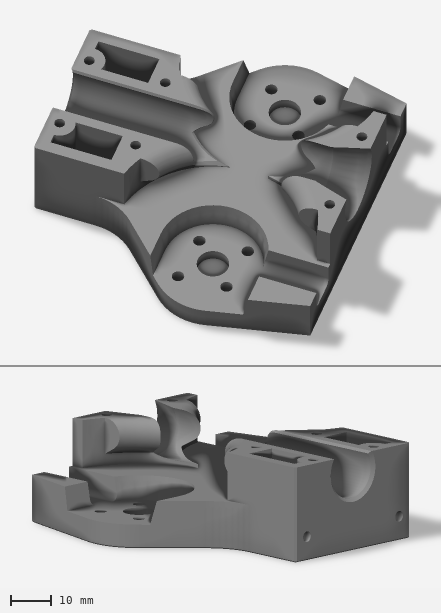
import cadquery as cq
import math

length = 78.0
height = 24.05
plate_top = 12.0
block_half_width = 20.0
edge_chamfer = 0.5
bottom_chamfer = 0.3

wheel_x = 49.2
wheel_y = 25.5
lobe_radius = 15.0
neck_radius = lobe_radius
flank_angle = math.radians(45)
rear_half_width = 34.2
wheel_axes = [(wheel_x, wheel_y), (wheel_x, -wheel_y)]

wheel_radius = 26.0
bore_z = 20.0
rib_reach_radius = 21.6
rib_radius = height - bore_z
rib_pitch_radius = rib_reach_radius + rib_radius
rib_base_z = 15.0
rib_half_width = 14.1

bore_radius = 7.0
bore_chamfer = 0.8
flare_start_x = 68.8
flare_radius = 9.5

seat_floor = 6.0
seat_floor_radius = 12.55
seat_draft = 11.0
shaft_hole_diameter = 8.0
shaft_hole_depth = 2.9
motor_hole_diameter = 3.1
motor_hole_circle_radii = (8.0, 9.5)
motor_hole_angle = math.radians(45)

channel_width = 8.6
channel_fillet = 1.6

screw_diameter = 2.7
front_screw_x = 3.3
screw_spacing_x = 20.0
front_screw_y = 10.5
rear_screw_x = 74.7
rear_screw_y = 11.4
pocket_length = 16.0
pocket_inner_y = 9.0
pocket_width = 8.0
pocket_depth = 12.0
screw_boss_radius = 4.0
front_hole_diameter = 2.7
front_hole_y = 16.0
front_hole_z = 6.0
front_hole_depth = 10.0


def box(x0, x1, y0, y1, z0, z1):
    """Box between two opposite corners."""
    return cq.Workplane("XY").box(x1 - x0, y1 - y0, z1 - z0, centered=False).translate((x0, y0, z0))


def lobe_plate():
    """Half plate on the +Y side: neck fillet, sloping flank, round lobe, tapering rear flank."""
    flank_end = (
        wheel_x - lobe_radius * math.sin(flank_angle),
        wheel_y + lobe_radius * math.cos(flank_angle),
    )
    neck_end_y = block_half_width + neck_radius * (1 - math.cos(flank_angle))
    neck_end_x = flank_end[0] - (flank_end[1] - neck_end_y) / math.tan(flank_angle)
    neck_end = (neck_end_x, neck_end_y)
    neck_x = neck_end_x - neck_radius * math.sin(flank_angle)
    neck_angle = flank_angle / 2
    neck_mid = (
        neck_x + neck_radius * math.sin(neck_angle),
        block_half_width + neck_radius * (1 - math.cos(neck_angle)),
    )

    corner_dx = length - wheel_x
    corner_dy = rear_half_width - wheel_y
    corner_distance = math.hypot(corner_dx, corner_dy)
    tangent_angle = math.atan2(corner_dy, corner_dx) + math.acos(lobe_radius / corner_distance)
    lobe_end = (
        wheel_x + lobe_radius * math.cos(tangent_angle),
        wheel_y + lobe_radius * math.sin(tangent_angle),
    )
    return (
        cq.Workplane("XY")
        .moveTo(neck_x, 0)
        .lineTo(neck_x, block_half_width)
        .threePointArc(neck_mid, neck_end)
        .lineTo(*flank_end)
        .threePointArc((wheel_x, wheel_y + lobe_radius), lobe_end)
        .lineTo(length, rear_half_width)
        .lineTo(length, 0)
        .close()
        .extrude(plate_top)
    )


def half_body():
    """Half plate and half of the tall block along the middle, on the +Y side."""
    block = box(0, length, 0, block_half_width, 0, height)
    block = block.edges("|Z and <X and >Y").chamfer(edge_chamfer)
    body = block.union(lobe_plate())
    return body.faces("<Z").edges("not <Y").chamfer(bottom_chamfer)


def rib_ring():
    """Ring around the wheel axis whose inner side is the rib: round on top, tangent flank to its base."""
    center_dr = rib_pitch_radius - wheel_radius
    center_dz = bore_z - rib_base_z
    base_distance = math.hypot(center_dr, center_dz)
    tangent_angle = math.atan2(-center_dz, -center_dr) - math.acos(rib_radius / base_distance)
    flank_end = (
        rib_pitch_radius + rib_radius * math.cos(tangent_angle),
        bore_z + rib_radius * math.sin(tangent_angle),
    )
    outer_radius = wheel_radius + rib_radius
    return (
        cq.Workplane("XZ")
        .moveTo(wheel_radius, rib_base_z)
        .lineTo(*flank_end)
        .threePointArc((rib_reach_radius, bore_z), (rib_pitch_radius, height))
        .lineTo(outer_radius, height)
        .lineTo(outer_radius, rib_base_z)
        .close()
        .revolve(360, (0, 0, 0), (0, 1, 0))
        .translate((wheel_x, wheel_y, 0))
    )


def wheel_clearance():
    """Cylinder of space for the +Y wheel, without the rib that stays on the inner part of the block."""
    wheel_plane = cq.Workplane("XY", origin=(wheel_x, wheel_y, plate_top))
    cylinder = wheel_plane.circle(wheel_radius).extrude(height - plate_top)
    outside_rib = box(0, length, rib_half_width, wheel_y + wheel_radius, plate_top, height)
    return cylinder.cut(rib_ring().cut(outside_rib))


def cut_barrel_bore(body):
    """Bore along X through a half body, with a flared rear end and all edges of the front bore chamfered."""
    bore = cq.Workplane("YZ", origin=(0, 0, bore_z)).circle(bore_radius).extrude(length)
    flare = (
        cq.Workplane("YZ", origin=(flare_start_x, 0, bore_z))
        .circle(bore_radius)
        .workplane(offset=length - flare_start_x)
        .circle(flare_radius)
        .loft()
    )
    body = body.cut(bore)

    front_bore_point = (wheel_x / 2, bore_radius, bore_z)
    front_bore = body.faces(cq.selectors.NearestToPointSelector(front_bore_point))
    body = front_bore.edges("not |X").chamfer(bore_chamfer)
    return body.cut(bore_top_chamfer()).cut(flare)


def bore_top_chamfer():
    """Bevel along the two top edges of the front bore."""
    top_angle = math.asin((height - bore_z) / bore_radius)
    low_angle = top_angle - bore_chamfer / bore_radius
    top_y = bore_radius * math.cos(top_angle) + bore_chamfer
    low_y = bore_radius * math.cos(low_angle)
    low_z = bore_z + bore_radius * math.sin(low_angle)
    return (
        cq.Workplane("YZ")
        .polyline([(-low_y, low_z), (low_y, low_z), (top_y, height), (-top_y, height)])
        .close()
        .extrude(wheel_x)
    )


def motor_seat():
    """Drafted U-shaped seat on the +Y lobe, open outward, with its wire channel to the rear."""
    outer_y = wheel_y + 2 * lobe_radius
    seat = (
        cq.Workplane("XY", origin=(wheel_x, 0, seat_floor))
        .moveTo(-seat_floor_radius, outer_y)
        .lineTo(-seat_floor_radius, wheel_y)
        .threePointArc((0, wheel_y - seat_floor_radius), (seat_floor_radius, wheel_y))
        .lineTo(seat_floor_radius, outer_y)
        .close()
        .extrude(plate_top - seat_floor, taper=-seat_draft)
    )
    half = channel_width / 2
    channel = box(wheel_x, length, wheel_y - half, wheel_y + half, seat_floor, plate_top)
    channel = channel.edges("|X and <Z").fillet(channel_fillet)
    return seat.union(channel)


def motor_holes():
    """Shaft recess and four through screw holes per motor, on two crossed bolt circles."""
    short, long = (radius * math.sin(motor_hole_angle) for radius in motor_hole_circle_radii)
    pattern = [(-short, short), (short, -short), (long, long), (-long, -long)]
    holes = cq.Workplane("XY")
    for x, y in wheel_axes:
        recess = cq.Workplane("XY", origin=(x, y, seat_floor)).circle(shaft_hole_diameter / 2)
        screws = cq.Workplane("XY", origin=(x, y, 0)).pushPoints(pattern).circle(motor_hole_diameter / 2)
        holes = holes.add(recess.extrude(-shaft_hole_depth)).add(screws.extrude(plate_top))
    return holes.combine()


def block_pocket():
    """Pocket in the +Y side of the block, leaving a round boss around the front screw."""
    pocket = box(
        front_screw_x, front_screw_x + pocket_length,
        pocket_inner_y, pocket_inner_y + pocket_width,
        height - pocket_depth, height,
    )
    boss = cq.Workplane("XY").center(front_screw_x, front_screw_y).circle(screw_boss_radius).extrude(height)
    return pocket.cut(boss)


def block_holes():
    """Vertical screw holes and the blind hole in the front face, on the +Y side."""
    screws = (
        cq.Workplane("XY")
        .pushPoints([
            (front_screw_x, front_screw_y),
            (front_screw_x + screw_spacing_x, front_screw_y),
            (rear_screw_x, rear_screw_y),
        ])
        .circle(screw_diameter / 2)
        .extrude(height)
    )
    front = (
        cq.Workplane("YZ")
        .center(front_hole_y, front_hole_z)
        .circle(front_hole_diameter / 2)
        .extrude(front_hole_depth)
    )
    return screws.union(front)


half = half_body().cut(wheel_clearance())
half = cut_barrel_bore(half)
half = half.cut(motor_seat()).cut(block_pocket()).cut(block_holes())

result = half.union(half.mirror("XZ")).cut(motor_holes())